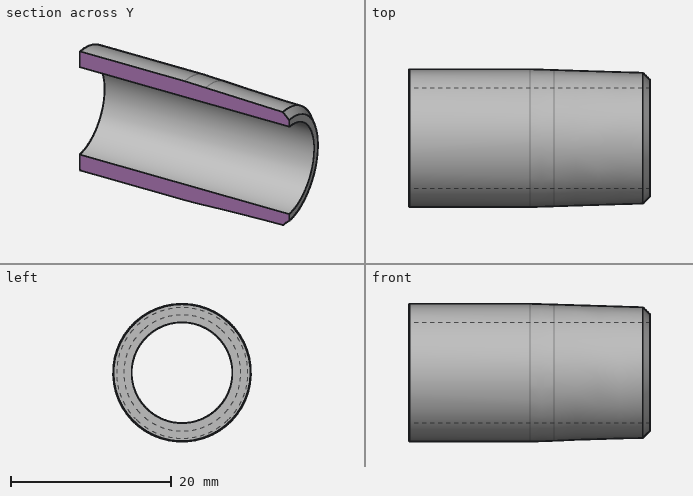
import cadquery as cq

length = 30.0
outer_diameter = 17.2
bore_diameter = 12.5

straight_length = 15.0
lead_in_length = 3.0
lead_in_end_diameter = 17.0
tip_diameter = 16.32
tip_chamfer = 0.9

edge_chamfer = 0.1

outer_radius = outer_diameter / 2
bore_radius = bore_diameter / 2
lead_in_end_radius = lead_in_end_diameter / 2
tip_radius = tip_diameter / 2
lead_in_end_x = straight_length + lead_in_length

half_section = (
    cq.Workplane("XZ")
    .moveTo(0, bore_radius)
    .lineTo(0, outer_radius - edge_chamfer)
    .lineTo(edge_chamfer, outer_radius)
    .lineTo(straight_length, outer_radius)
    .lineTo(lead_in_end_x, lead_in_end_radius)
    .lineTo(length - tip_chamfer, tip_radius)
    .lineTo(length, tip_radius - tip_chamfer)
    .lineTo(length, bore_radius)
    .close()
)

result = half_section.revolve(360, (0, 0, 0), (1, 0, 0))